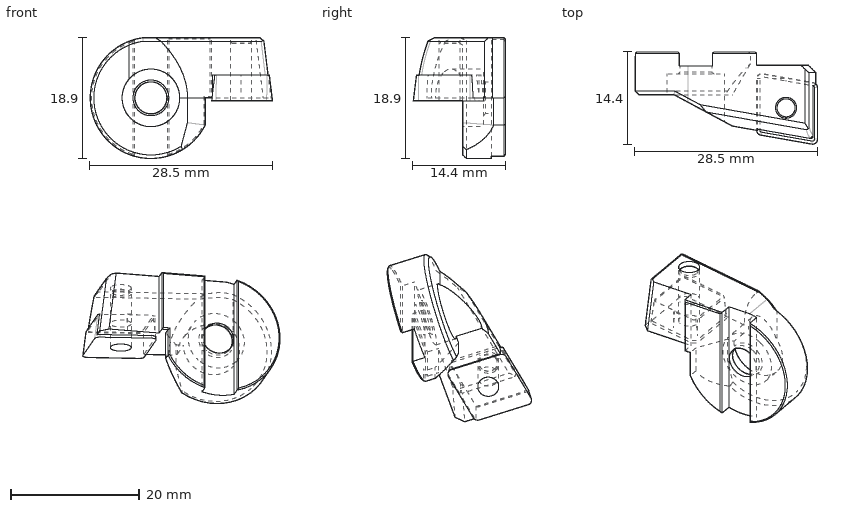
import cadquery as cq
import math

OVERALL_LENGTH = 28.5
OVERALL_DEPTH = 14.42
OVERALL_HEIGHT = 18.9

HUB_RADIUS = 9.5
HUB_DEPTH = 6.7
HUB_FRONT_Y = -HUB_DEPTH
FRONT_CHAMFER = 0.57
BACK_CHAMFER = 0.23
BORE_RADIUS = 2.48
BORE_CHAMFER = 0.3
BORE_CHAMFER_ANGLE = 45.0
COUNTERBORE_RADIUS = 4.5
COUNTERBORE_DEPTH = 3.25
KEYWAY_WIDTH = 5.13
KEYWAY_DEPTH = 2.2

RELIEF_START_X = 5.7
RELIEF_CORNER_Z = -3.88
RELIEF_FLAT_X = 8.5
RELIEF_ANGLE = 60.0
RELIEF_TURN = 14.8

ARM_TOP = OVERALL_HEIGHT - HUB_RADIUS
ARM_BACK_Y = -2.05
ARM_END_X = 18.75
LEAN_ANGLE = 7.0
SLANT_START_X = -3.42
SLANT_ANGLE = 28.2
FACE_ANGLE = 10.0
FACE_OFFSET = 10.43
FACE_RADIUS = 27.35
TOP_CHAMFER_WIDTH = 0.97
TOP_CHAMFER_DROP = 0.57
END_TOP_CHAMFER = 0.57
END_CORNER_CHAMFER = 1.2
END_CORNER_FILLET = 0.4

INSERT_CIRCLE = 9.52
INSERT_THICKNESS = 4.0
INSERT_BOTTOM = -0.45
INSERT_NOSE_RADIUS = 0.8
INSERT_NOSE_ANGLE = 90 - FACE_ANGLE
POCKET_LEFT_X = 9.63

SCREW_X = 14.08
SCREW_Y = -8.72
SCREW_RADIUS = 1.64
SCREW_TIP_CHAMFER = 0.23
SCREW_RECESS = 0.68

OVERSIZE = 42.75

FACE_COS = math.cos(math.radians(FACE_ANGLE))
FACE_SIN = math.sin(math.radians(FACE_ANGLE))
SLANT_SLOPE = math.tan(math.radians(SLANT_ANGLE))
LEAN_SLOPE = math.tan(math.radians(LEAN_ANGLE))

NOSE_SETBACK = INSERT_NOSE_RADIUS / math.tan(math.radians(INSERT_NOSE_ANGLE) / 2)
INSERT_EDGE = INSERT_CIRCLE / FACE_COS
INSERT_RISE = INSERT_EDGE * FACE_SIN
INSERT_RIGHT_X = OVERALL_LENGTH - HUB_RADIUS
INSERT_LEFT_X = INSERT_RIGHT_X - INSERT_CIRCLE
INSERT_FRONT_Y = INSERT_NOSE_RADIUS - OVERALL_DEPTH - NOSE_SETBACK
INSERT_BACK_Y = INSERT_FRONT_Y + INSERT_EDGE + INSERT_RISE


def box_between(low, high):
    """Axis-parallel box between two opposite corners."""
    size = [b - a for a, b in zip(low, high)]
    return cq.Workplane("XY").box(*size, centered=False).translate(tuple(low))


def cylinder_on_y(radius, start_y, depth):
    """Cylinder on the hub axis, from start_y towards -Y."""
    return cq.Workplane("XZ", origin=(0, start_y, 0)).circle(radius).extrude(depth)


def make_hub():
    """Round hub with a chamfered front edge."""
    return cylinder_on_y(HUB_RADIUS, 0, HUB_DEPTH).faces("<Y").chamfer(FRONT_CHAMFER)


def bulge_at(z):
    """Distance of the bulging front of the arm from the hub axis, square to the front."""
    return FACE_OFFSET - FACE_RADIUS + math.sqrt(FACE_RADIUS**2 - z**2)


def bar_along_front(points, bulging=False):
    """Long bar parallel to the front of the arm; a bulging one has an arc as its first side."""
    plane = cq.Plane(origin=(0, 0, 0), xDir=(-FACE_SIN, -FACE_COS, 0), normal=(-FACE_COS, FACE_SIN, 0))
    outline = cq.Workplane(plane).moveTo(*points[0])
    if bulging:
        middle_z = (points[0][1] + points[1][1]) / 2
        outline = outline.threePointArc((bulge_at(middle_z), middle_z), points[1])
    else:
        outline = outline.lineTo(*points[1])
    for point in points[2:]:
        outline = outline.lineTo(*point)
    return outline.close().extrude(OVERSIZE, both=True)


def make_slanted_block():
    """Upper half of the hub outline with the arm, ending at the chamfered slanted front."""
    block = cylinder_on_y(HUB_RADIUS, 0, OVERSIZE).union(
        box_between((0, -OVERSIZE, 0), (OVERSIZE, 0, ARM_TOP))
    )
    block = block.intersect(box_between((-OVERSIZE, -OVERSIZE, 0), (OVERSIZE, 0, ARM_TOP)))

    def slant_y(x):
        return HUB_FRONT_Y - (x - SLANT_START_X) * SLANT_SLOPE

    behind_slant = (
        cq.Workplane("XY")
        .polyline(
            [
                (-OVERSIZE, slant_y(-OVERSIZE)),
                (OVERSIZE, slant_y(OVERSIZE)),
                (OVERSIZE, OVERSIZE),
                (-OVERSIZE, OVERSIZE),
            ]
        )
        .close()
        .extrude(ARM_TOP)
    )
    block = block.intersect(behind_slant)
    slant_normal = cq.Vector(-SLANT_SLOPE, -1, 0)
    slanted_face = block.faces(cq.selectors.ParallelDirSelector(slant_normal))
    return slanted_face.edges(">Z or %ELLIPSE").chamfer(FRONT_CHAMFER)


def bar_across_end(points):
    """Long bar along Y with an outline in X and Z."""
    return cq.Workplane("XZ").polyline(points).close().extrude(OVERSIZE)


def make_arm():
    """Arm with its leaning end, rounded and chamfered at the end corners and along the top."""
    bulging_bar = bar_along_front(
        [(FACE_OFFSET, 0), (bulge_at(ARM_TOP), ARM_TOP), (-OVERSIZE, ARM_TOP), (-OVERSIZE, 0)],
        bulging=True,
    )
    end_top_x = ARM_END_X - ARM_TOP * LEAN_SLOPE
    end_cut = bar_across_end(
        [(ARM_END_X, 0), (end_top_x, ARM_TOP), (OVERSIZE, ARM_TOP), (OVERSIZE, 0)]
    )
    back_cut = box_between((HUB_RADIUS, ARM_BACK_Y, 0), (OVERSIZE, 0, ARM_TOP))
    arm = make_slanted_block().intersect(bulging_bar).cut(end_cut).cut(back_cut)

    end_face = cq.selectors.ParallelDirSelector(cq.Vector(1, 0, LEAN_SLOPE))
    arm = arm.faces(end_face).edges("<Y").fillet(END_CORNER_FILLET)
    arm = arm.faces(end_face).edges(">Y").chamfer(END_CORNER_CHAMFER)

    chamfer_z = ARM_TOP - TOP_CHAMFER_DROP
    chamfer_edge = bulge_at(chamfer_z)
    front_top_cut = bar_along_front(
        [
            (chamfer_edge, chamfer_z),
            (chamfer_edge - TOP_CHAMFER_WIDTH, ARM_TOP),
            (OVERSIZE, ARM_TOP),
            (OVERSIZE, chamfer_z),
        ]
    )
    end_top_cut = bar_across_end(
        [
            (ARM_END_X - chamfer_z * LEAN_SLOPE, chamfer_z),
            (end_top_x - END_TOP_CHAMFER, ARM_TOP),
            (OVERSIZE, ARM_TOP),
            (OVERSIZE, chamfer_z),
        ]
    )
    return arm.cut(front_top_cut).cut(end_top_cut)


def make_relief():
    """Two steep flats that clear the front of the hub below the arm."""
    run = HUB_DEPTH / math.tan(math.radians(RELIEF_ANGLE))
    wedge = (
        cq.Workplane("XY")
        .polyline([(0, HUB_FRONT_Y), (run, 0), (OVERSIZE, 0), (OVERSIZE, HUB_FRONT_Y)])
        .close()
        .extrude(-OVERSIZE)
    )
    upright = wedge.translate((RELIEF_START_X, 0, 0))
    turned = (
        wedge.translate((0, 0, -RELIEF_CORNER_Z / 2))
        .rotate((0, 0, 0), (0, 1, 0), RELIEF_TURN)
        .translate((RELIEF_START_X, 0, RELIEF_CORNER_Z))
    )
    below_arm = box_between((0, HUB_FRONT_Y, -OVERSIZE), (OVERSIZE, 0, 0))
    return upright.union(turned).intersect(below_arm)


def make_insert():
    """Rhombic insert with its cutting nose at the front right."""
    outline = [
        (INSERT_RIGHT_X, INSERT_FRONT_Y),
        (INSERT_RIGHT_X, INSERT_BACK_Y - INSERT_RISE),
        (INSERT_LEFT_X, INSERT_BACK_Y),
        (INSERT_LEFT_X, INSERT_BACK_Y - INSERT_EDGE),
    ]
    sharp = cq.Workplane("XY").polyline(outline).close().extrude(INSERT_THICKNESS)
    rounded = sharp.edges("|Z").fillet(INSERT_NOSE_RADIUS).faces("<Z").wires().val()
    insert = cq.Workplane("XY").add(rounded).toPending().extrude(INSERT_THICKNESS, taper=LEAN_ANGLE)
    return insert.translate((0, 0, INSERT_BOTTOM))


def make_pocket_side():
    """Room beside the insert, which gives its pocket an upright left wall."""
    return box_between(
        (POCKET_LEFT_X, -OVERALL_DEPTH, 0),
        (SCREW_X, INSERT_BACK_Y - NOSE_SETBACK, INSERT_BOTTOM + INSERT_THICKNESS),
    )


def make_screw(top):
    """Plain round shank from the lower face of the insert up to the given height."""
    circle = cq.Workplane("XY", origin=(SCREW_X, SCREW_Y, INSERT_BOTTOM)).circle(SCREW_RADIUS)
    return circle.extrude(top - INSERT_BOTTOM)


def make_bore():
    """Through bore, its chamfer and the counterbore, which runs on through the arm."""
    floor_y = HUB_FRONT_Y + COUNTERBORE_DEPTH
    chamfer = cq.Workplane("XZ", origin=(0, floor_y, 0)).circle(BORE_RADIUS + BORE_CHAMFER)
    chamfer = chamfer.extrude(-BORE_CHAMFER, taper=BORE_CHAMFER_ANGLE)
    counterbore = cylinder_on_y(COUNTERBORE_RADIUS, floor_y, OVERSIZE)
    return cylinder_on_y(BORE_RADIUS, 0, HUB_DEPTH).union(chamfer).union(counterbore)


def make_holder():
    """Hub and arm in one piece, with the keyway across the back and the bore."""
    under_top = box_between((-OVERSIZE, -OVERSIZE, -OVERSIZE), (OVERSIZE, 0, ARM_TOP))
    keyway = box_between((-KEYWAY_WIDTH / 2, -KEYWAY_DEPTH, -OVERSIZE), (KEYWAY_WIDTH / 2, 0, OVERSIZE))
    side_flat = box_between((RELIEF_FLAT_X, HUB_FRONT_Y, -OVERSIZE), (OVERSIZE, 0, 0))

    holder = make_hub().intersect(under_top).union(make_arm()).cut(side_flat).cut(keyway)
    holder = holder.faces(">Y").edges().chamfer(BACK_CHAMFER)
    return holder.cut(make_relief()).cut(make_bore())


insert_blank = make_insert()
screw_hole = make_screw(ARM_TOP)

holder = make_holder().cut(insert_blank).cut(make_pocket_side()).cut(screw_hole)
insert = insert_blank.cut(screw_hole)
screw = make_screw(ARM_TOP - SCREW_RECESS).faces(">Z").chamfer(SCREW_TIP_CHAMFER)

result = cq.Compound.makeCompound([body.solids().val() for body in (holder, insert, screw)])